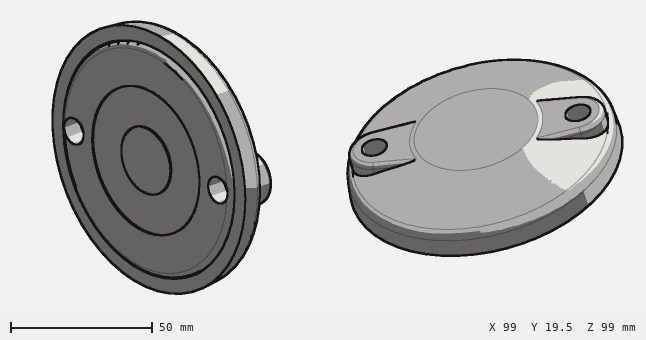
import cadquery as cq
import math


plate_radius = 43.6
plate_thickness = 7.9
plate_edge_round = 2.0
groove_outer_radius = 27.5
groove_inner_radius = 12.6
groove_depth = 0.5

plate_protrusion = 1.5
rim_radius = 49.5
side_top_radius = 48.9
side_top_y = 8.0
shoulder_radius = 3.8
dome_edge_radius = 46.4
dome_edge_y = 11.2
dome_mid_radius = 34.6
dome_mid_y = 15.5
crown_radius = 22.5
crown_edge_y = 18.3
total_depth = 19.5

plate_clearance = 0.4
recess_radius = plate_radius + plate_clearance

hole_offset = 36.9
plate_hole_radius = 4.95
cover_hole_radius = 4.6
bar_top_y = 18.0
bar_edge_round = 1.8
bar_tip_offset = 36.3
bar_tip_radius = 10.1
bar_flank_angle = math.radians(7.6)


def cylinder_y(radius, y_start, y_end, x=0):
    """Solid cylinder along +Y between two Y positions."""
    return cq.Workplane(
        cq.Solid.makeCylinder(radius, y_end - y_start, cq.Vector(x, y_start, 0), cq.Vector(0, 1, 0))
    )


def cut_screw_holes(body, radius):
    """Cut the two screw holes right through a body."""
    for side in (-1, 1):
        body = body.cut(cylinder_y(radius, 0, total_depth, side * hole_offset))
    return body


def make_plate():
    """Round base plate with a shallow ring groove in its mounting face."""
    plate = cylinder_y(plate_radius, 0, plate_thickness).faces("<Y").edges().fillet(plate_edge_round)
    groove = cylinder_y(groove_outer_radius, 0, groove_depth).cut(
        cylinder_y(groove_inner_radius, 0, groove_depth)
    )
    return cut_screw_holes(plate.cut(groove), plate_hole_radius)


def make_dome():
    """Tapered rim, rounded shoulder, dome and flatter crown, revolved about Y."""
    sphere_radius = (crown_radius**2 + (total_depth - crown_edge_y) ** 2) / (2 * (total_depth - crown_edge_y))
    return (
        cq.Workplane("XY")
        .moveTo(0, plate_protrusion)
        .lineTo(rim_radius, plate_protrusion)
        .lineTo(side_top_radius, side_top_y)
        .radiusArc((dome_edge_radius, dome_edge_y), -shoulder_radius)
        .threePointArc((dome_mid_radius, dome_mid_y), (crown_radius, crown_edge_y))
        .radiusArc((0, total_depth), -sphere_radius)
        .close()
        .revolve(360, (0, 0, 0), (0, 1, 0))
    )


def make_bar():
    """Raised bar across the dome: round tips and straight flanks that widen to the middle."""
    flank_x = bar_tip_offset + bar_tip_radius * math.sin(bar_flank_angle)
    flank_z = bar_tip_radius * math.cos(bar_flank_angle)
    middle_z = flank_z + flank_x * math.tan(bar_flank_angle)
    tip_x = bar_tip_offset + bar_tip_radius
    return (
        cq.Workplane("XZ", origin=(0, plate_thickness, 0))
        .moveTo(0, middle_z)
        .lineTo(flank_x, flank_z)
        .threePointArc((tip_x, 0), (flank_x, -flank_z))
        .lineTo(0, -middle_z)
        .lineTo(-flank_x, -flank_z)
        .threePointArc((-tip_x, 0), (-flank_x, flank_z))
        .close()
        .extrude(plate_thickness - bar_top_y)
        .faces(">Y")
        .edges()
        .fillet(bar_edge_round)
    )


def make_cover():
    """Domed cover with the raised bar, the plate recess and the screw holes."""
    recess = cylinder_y(recess_radius, plate_protrusion, plate_thickness)
    return cut_screw_holes(make_dome().union(make_bar()).cut(recess), cover_hole_radius)


plate = make_plate()
cover = make_cover()

result = cq.Compound.makeCompound([plate.val(), cover.val()])